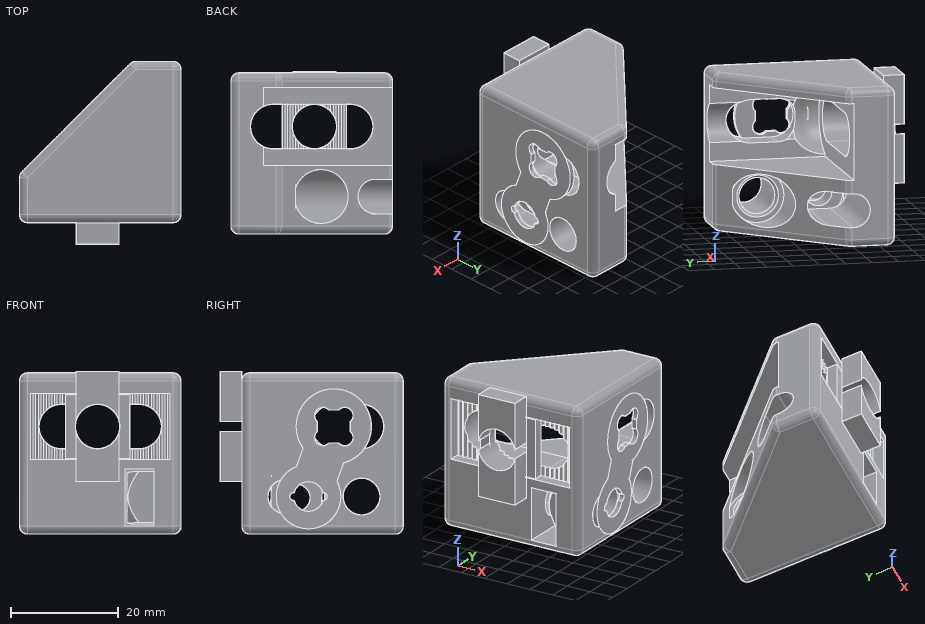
import cadquery as cq
import math

SIZE = 30.0
SIDE_LENGTH = 9.0
EDGE_RADIUS = 1.5

UPPER_Z = 20.0
SLOT_WIDTH = 8.2
SLOT_MARGIN = 7.75
FRONT_WALL = 8.0
SIDE_WALL = 6.0
CAVITY_HEIGHT = 14.5
BOLT_HEAD_DIAMETER = 14.0

POCKET_WIDTH = 26.0
POCKET_HEIGHT = 12.2
TOOTH_PITCH = 1.0
TOOTH_HEIGHT = TOOTH_PITCH / 2
TOOTH_TIP_DEPTH = 2.0

SLIDER_X = 14.5
PLATE_WIDTH = 12.0
PLATE_HEIGHT = 11.9
TONGUE_WIDTH = 8.0
TONGUE_HEIGHT = 20.5
TONGUE_LENGTH = 4.0

LOWER_Z = 7.0
SCREW_Y = SIZE - SLOT_MARGIN
SCREW_DIAMETER = 6.8
SCREW_SEAT_X = 18.0
SCREW_HEAD_DIAMETER = 10.0
SEAT_CHAMFER = 0.55

NUT_POCKET_X = 19.6
NUT_POCKET_WIDTH = 5.4
NUT_POCKET_HEIGHT = 10.6
NUT_POCKET_DEPTH = 15.5
NUT_POCKET_BOTTOM = EDGE_RADIUS
NUT_SLOT_LENGTH = 10.5
NUT_SLOT_HEIGHT = 6.4

NUT_Y = 10.15
NUT_Z = 6.77
NUT_SIZE = 9.5
NUT_THICKNESS = 5.0
NUT_HOLE_DIAMETER = 5.0
NUT_FACE_DIAMETER = 9.2
NUT_TILT = -1.8

LINK_THICKNESS = 1.0
LINK_UPPER_Y = 17.1
LINK_UPPER_DIAMETER = 14.0
LINK_LOWER_Y = 12.4
LINK_LOWER_DIAMETER = 12.0
LINK_ARM_WIDTH = 8.0
SQUARE_SIZE = 6.1
CORNER_RELIEF_RADIUS = 1.5
CORNER_RELIEF_OFFSET = 2.05
LOBED_HOLE_DIAMETER = 5.5
LOBE_DIAMETER = 1.4


def box(x_range, y_range, z_range):
    """Box between two limits on each axis."""
    limits = (x_range, y_range, z_range)
    lengths = [high - low for low, high in limits]
    corner = [low for low, high in limits]
    return cq.Workplane("XY").box(*lengths, centered=False).translate(tuple(corner))


def centred(middle, length):
    """Low and high limits of a length about its middle."""
    return middle - length / 2, middle + length / 2


def x_cylinder(diameter, x_start, x_end, y, z):
    """Cylinder along X."""
    circle = cq.Workplane("YZ", origin=(x_start, y, z)).circle(diameter / 2)
    return circle.extrude(x_end - x_start)


def x_cone(start_radius, end_radius, x_start, length, y, z):
    """Cone frustum along X."""
    base = cq.Vector(x_start, y, z)
    return cq.Workplane(cq.Solid.makeCone(start_radius, end_radius, length, base, cq.Vector(1, 0, 0)))


def x_slot(length, height, x_start, x_end, y, z):
    """Round-ended slot along Y, cut along X."""
    outline = cq.Workplane("YZ", origin=(x_start, y, z)).slot2D(length, height)
    return outline.extrude(x_end - x_start)


def serrated_block(x_middle, width, height):
    """Block from the front face inward, its back serrated with teeth in step with the pocket."""
    left, right = centred(x_middle, width)
    first = left / TOOTH_HEIGHT
    points = [(left, 0.0)]
    for step in range(round(width / TOOTH_HEIGHT) + 1):
        is_valley = round(first + step) % 2 == 0
        depth = TOOTH_TIP_DEPTH + (TOOTH_HEIGHT if is_valley else 0.0)
        points.append((left + step * TOOTH_HEIGHT, depth))
    points.append((right, 0.0))
    bottom = UPPER_Z - height / 2
    return cq.Workplane("XY", origin=(0, 0, bottom)).polyline(points).close().extrude(height)


def rounded_block():
    corner_cut = SIZE - SIDE_LENGTH
    outline = [(0, 0), (SIZE, 0), (SIZE, SIZE), (corner_cut, SIZE), (0, SIDE_LENGTH)]
    return cq.Workplane("XY").polyline(outline).close().extrude(SIZE).edges().fillet(EDGE_RADIUS)


def upper_openings():
    """Cavity behind the cut corner, bolt slots through both walls and a hemisphere for the bolt head."""
    cavity_x = SIZE - SIDE_WALL
    cavity = box((0, cavity_x), (FRONT_WALL, SIZE), centred(UPPER_Z, CAVITY_HEIGHT))

    front_slot_length = SIZE - 2 * SLOT_MARGIN + SLOT_WIDTH
    front_slot = (
        cq.Workplane("XZ", origin=(SIZE / 2, 0, UPPER_Z))
        .slot2D(front_slot_length, SLOT_WIDTH)
        .extrude(-SIZE)
    )
    head_clearance = cq.Workplane(
        cq.Solid.makeSphere(
            BOLT_HEAD_DIAMETER / 2,
            cq.Vector(SIZE - SLOT_MARGIN, FRONT_WALL, UPPER_Z),
            cq.Vector(0, 1, 0),
            angleDegrees1=0,
        )
    )

    side_slot_end = SIZE - SLOT_MARGIN
    side_slot_length = side_slot_end - LINK_UPPER_Y + SLOT_WIDTH
    side_slot_y = (side_slot_end + LINK_UPPER_Y) / 2
    side_slot = x_slot(side_slot_length, SLOT_WIDTH, cavity_x, SIZE, side_slot_y, UPPER_Z)
    return [cavity, front_slot, head_clearance, side_slot]


def link_blank():
    """Two round ends joined by a straight arm, flush with the +X face."""
    back = SIZE - LINK_THICKNESS
    upper = x_cylinder(LINK_UPPER_DIAMETER, back, SIZE, LINK_UPPER_Y, UPPER_Z)
    lower = x_cylinder(LINK_LOWER_DIAMETER, back, SIZE, LINK_LOWER_Y, LOWER_Z)
    y_step = LINK_UPPER_Y - LINK_LOWER_Y
    z_step = UPPER_Z - LOWER_Z
    middle = (back, (LINK_UPPER_Y + LINK_LOWER_Y) / 2, (UPPER_Z + LOWER_Z) / 2)
    arm = (
        cq.Workplane("YZ", origin=middle)
        .transformed(rotate=(0, 0, math.degrees(math.atan2(z_step, y_step))))
        .rect(math.hypot(y_step, z_step), LINK_ARM_WIDTH)
        .extrude(LINK_THICKNESS)
    )
    return upper.union(lower).union(arm)


def screw_hole():
    """Through hole along X with a flat head seat and a chamfered mouth."""
    shaft = x_cylinder(SCREW_DIAMETER, 0, SIZE, SCREW_Y, LOWER_Z)
    head = x_cylinder(SCREW_HEAD_DIAMETER, 0, SCREW_SEAT_X, SCREW_Y, LOWER_Z)
    mouth_radius = SCREW_DIAMETER / 2 + SEAT_CHAMFER
    mouth = x_cone(mouth_radius, SCREW_DIAMETER / 2, SCREW_SEAT_X, SEAT_CHAMFER, SCREW_Y, LOWER_Z)
    return [shaft, head, mouth]


def nut_openings():
    """Nut pocket from the front face and the adjusting slot that crosses it from side to side."""
    pocket = box(
        (NUT_POCKET_X, NUT_POCKET_X + NUT_POCKET_WIDTH),
        (0, NUT_POCKET_DEPTH),
        (NUT_POCKET_BOTTOM, NUT_POCKET_BOTTOM + NUT_POCKET_HEIGHT),
    )
    slot = x_slot(NUT_SLOT_LENGTH, NUT_SLOT_HEIGHT, 0, SIZE, NUT_Y, LOWER_Z)
    return [pocket, slot]


def make_housing():
    cuts = upper_openings() + screw_hole() + nut_openings()
    cuts.append(serrated_block(SIZE / 2, POCKET_WIDTH, POCKET_HEIGHT))
    cuts.append(link_blank())
    body = rounded_block()
    for cut in cuts:
        body = body.cut(cut)
    return body


def make_slider():
    plate = serrated_block(SLIDER_X, PLATE_WIDTH, PLATE_HEIGHT)
    tongue = box(
        centred(SLIDER_X, TONGUE_WIDTH), (-TONGUE_LENGTH, 0), centred(UPPER_Z, TONGUE_HEIGHT)
    )
    hole_length = TONGUE_LENGTH + TOOTH_TIP_DEPTH + TOOTH_HEIGHT
    hole = (
        cq.Workplane("XZ", origin=(SLIDER_X, -TONGUE_LENGTH, UPPER_Z))
        .circle(SLOT_WIDTH / 2)
        .extrude(-hole_length)
    )
    return plate.union(tongue).cut(hole)


def square_hole():
    """Square hole in the upper end of the link, its corners relieved by circles."""
    back = SIZE - LINK_THICKNESS
    hole = box((back, SIZE), centred(LINK_UPPER_Y, SQUARE_SIZE), centred(UPPER_Z, SQUARE_SIZE))
    for y_side in (-1, 1):
        for z_side in (-1, 1):
            y = LINK_UPPER_Y + y_side * CORNER_RELIEF_OFFSET
            z = UPPER_Z + z_side * CORNER_RELIEF_OFFSET
            hole = hole.union(x_cylinder(2 * CORNER_RELIEF_RADIUS, back, SIZE, y, z))
    return hole


def lobed_hole():
    """Round hole in the lower end of the link, with a small lobe on each side."""
    back = SIZE - LINK_THICKNESS
    lobe_length = LOBED_HOLE_DIAMETER + LOBE_DIAMETER
    hole = x_cylinder(LOBED_HOLE_DIAMETER, back, SIZE, LINK_LOWER_Y, LOWER_Z)
    return hole.union(x_slot(lobe_length, LOBE_DIAMETER, back, SIZE, LINK_LOWER_Y, LOWER_Z))


def make_link():
    return link_blank().cut(square_hole()).cut(lobed_hole())


def make_nut():
    """Square nut against the +X wall of its pocket, chamfered on its -X face."""
    end = NUT_POCKET_X + NUT_POCKET_WIDTH
    start = end - NUT_THICKNESS
    block = box((start, end), centred(NUT_Y, NUT_SIZE), centred(NUT_Z, NUT_SIZE))
    block = block.rotate((0, NUT_Y, NUT_Z), (1, NUT_Y, NUT_Z), NUT_TILT)
    face_radius = NUT_FACE_DIAMETER / 2
    cone = x_cone(face_radius, face_radius + NUT_THICKNESS, start, NUT_THICKNESS, NUT_Y, NUT_Z)
    return block.intersect(cone).cut(x_cylinder(NUT_HOLE_DIAMETER, start, end, NUT_Y, NUT_Z))


housing = make_housing()
slider = make_slider()
link = make_link()
nut = make_nut()

result = cq.Compound.makeCompound([housing.val(), slider.val(), link.val(), nut.val()])